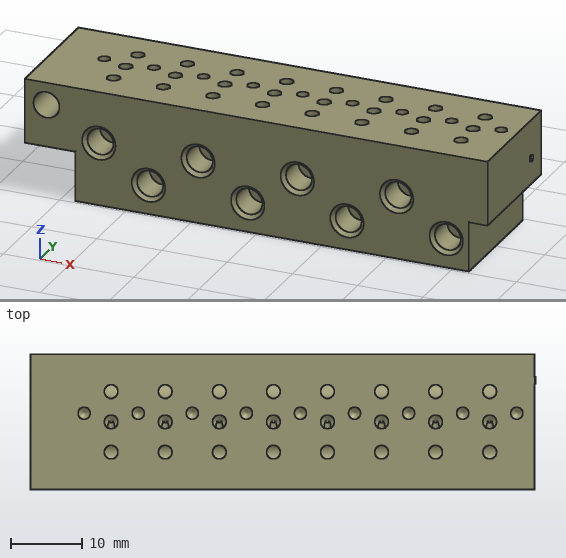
import cadquery as cq
import math

overall_length = 71.1
depth = 19.05
height = 17.5
step_drop = 9.9
left_step = 7.75
right_step = 2.85
half_depth = depth / 2

pin_diameter = 1.0
pin_projection = 0.15
pin_embedment = 0.7
block_length = overall_length - pin_projection

drill_point_angle = 118.0

station_count = 8
station_pitch = 7.6
first_station_x = 11.4
valve_hole_diameter = 1.9
valve_row_offset = 4.3

screw_hole_diameter = 1.7
screw_hole_depth = 5.7
screw_row_y = 1.2

inlet_diameter = 4.0
inlet_x = 3.35
supply_z = -3.4
supply_channel_diameter = 3.3

exhaust_channel_diameter = 5.1
exhaust_y = 5.8
exhaust_z = -5.8

channel_end_wall = 2.85

port_levels = (-7.9, -13.0)
port_diameter = 4.0
port_depth = 5.0
port_rim_diameter = 5.1
port_rim_depth = 0.6
outlet_bore_diameter = 1.0
outlet_bore_overrun = 0.1

RIGHT = cq.Vector(1, 0, 0)
INWARD = cq.Vector(0, 1, 0)
DOWN = cq.Vector(0, 0, -1)


def cylinder(diameter, length, start, direction):
    return cq.Solid.makeCylinder(diameter / 2, length, cq.Vector(*start), direction)


def drilled_hole(diameter, length, start, direction):
    """Cutter with full diameter over the length, followed by a conical drill point."""
    radius = diameter / 2
    tip = length + radius / math.tan(math.radians(drill_point_angle / 2))
    half_profile = [(0, 0), (radius, 0), (radius, length), (0, tip)]
    cutter = cq.Workplane("XZ").polyline(half_profile).close().revolve(360, (0, 0), (0, 1))
    return cutter.val().moved(cq.Location(cq.Plane(origin=start, normal=direction)))


def stepped_block():
    step_z = -step_drop
    foot_end = block_length - right_step
    outline = [
        (0, 0),
        (block_length, 0),
        (block_length, step_z),
        (foot_end, step_z),
        (foot_end, -height),
        (left_step, -height),
        (left_step, step_z),
        (0, step_z),
    ]
    return cq.Workplane("XZ", origin=(0, half_depth, 0)).polyline(outline).close().extrude(depth)


def supply_cutters():
    channel_length = block_length - channel_end_wall - inlet_x
    inlet_length = half_depth - valve_row_offset + supply_channel_diameter / 2
    inlet_start = (inlet_x, -half_depth, supply_z)
    channel_start = (inlet_x, -valve_row_offset, supply_z)
    return [
        drilled_hole(inlet_diameter, inlet_length, inlet_start, INWARD),
        cylinder(supply_channel_diameter, channel_length, channel_start, RIGHT),
    ]


def exhaust_cutters():
    channel_length = block_length - 2 * channel_end_wall
    channel_start = (channel_end_wall, exhaust_y, exhaust_z)
    return [cylinder(exhaust_channel_diameter, channel_length, channel_start, RIGHT)]


def station_cutters(x, port_z):
    """Three valve holes, and the outlet port that meets the middle one."""
    port_start = (x, -half_depth, port_z)
    rim = cq.Solid.makeCone(
        port_rim_diameter / 2, port_diameter / 2, port_rim_depth, cq.Vector(*port_start), INWARD
    )
    return [
        cylinder(valve_hole_diameter, -supply_z, (x, -valve_row_offset, 0), DOWN),
        drilled_hole(valve_hole_diameter, -port_z, (x, 0, 0), DOWN),
        cylinder(valve_hole_diameter, -exhaust_z, (x, valve_row_offset, 0), DOWN),
        rim,
        cylinder(port_diameter, port_depth, port_start, INWARD),
        drilled_hole(outlet_bore_diameter, half_depth + outlet_bore_overrun, port_start, INWARD),
    ]


def screw_hole_cutters():
    first_x = first_station_x - station_pitch / 2
    starts = [(first_x + i * station_pitch, screw_row_y, 0) for i in range(station_count + 1)]
    return [drilled_hole(screw_hole_diameter, screw_hole_depth, start, DOWN) for start in starts]


def locating_pin():
    pin_start = (block_length - pin_embedment, exhaust_y, exhaust_z)
    return cylinder(pin_diameter, pin_embedment + pin_projection, pin_start, RIGHT)


cutters = supply_cutters() + exhaust_cutters() + screw_hole_cutters()
for i in range(station_count):
    station_x = first_station_x + i * station_pitch
    cutters += station_cutters(station_x, port_levels[i % len(port_levels)])

result = stepped_block()
for cutter in cutters:
    result = result.cut(cq.Workplane(cutter))
result = result.union(cq.Workplane(locating_pin()))